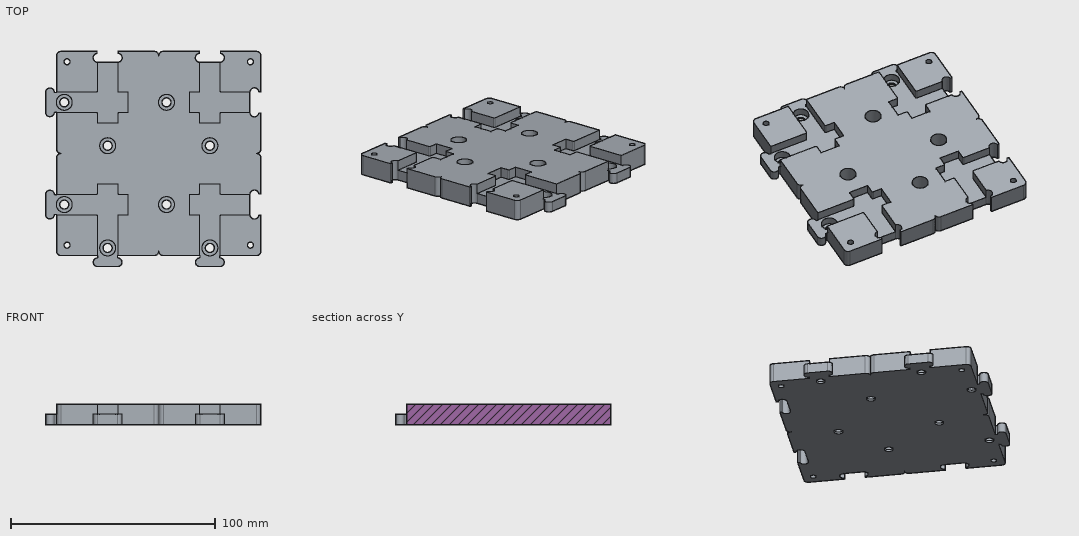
import cadquery as cq
import math

tile_size = 100.0
thickness = 10.1
cell_size = tile_size / 2
cell_corner_radius = 2.2
half_tile = tile_size / 2

joint_reach = 5.4
joint_width = 14.1
lobe_diameter = 4.3
tab_neck_width = 9.8
tab_neck_fillet = 0.3
tab_thickness = 5.2
socket_neck_width = 10.2

pocket_arm_width = 10.0
pocket_arm_reach = 10.0
pocket_corner_radius = 0.5

screw_diameter = 4.3
counterbore_diameter = 7.8
counterbore_floor = 1.1
screw_inset = 3.8
pin_diameter = 2.8
pin_inset = 5.2

margin = 0.1

cell_offsets = (-cell_size / 2, cell_size / 2)
cell_centers = [(x, y) for x in cell_offsets for y in cell_offsets]


def box(x_limits, y_limits, height):
    """Box standing on Z = 0, given by its (low, high) limits along X and Y."""
    x_low, x_high = x_limits
    y_low, y_high = y_limits
    solid = cq.Workplane("XY").box(x_high - x_low, y_high - y_low, height, centered=False)
    return solid.translate((x_low, y_low, 0))


def joint(neck_width, height):
    """T shape reaching along -X from the origin, with its neck centred on the X axis."""
    lobe_radius = lobe_diameter / 2
    lobe_x = lobe_radius - joint_reach
    lobe_y = joint_width / 2 - lobe_radius
    half_neck = neck_width / 2
    neck_angle = math.asin((half_neck - lobe_y) / lobe_radius)

    def lobe_point(angle):
        return (lobe_x + lobe_radius * math.cos(angle), lobe_y + lobe_radius * math.sin(angle))

    half_shape = (
        cq.Workplane("XY")
        .lineTo(0, half_neck)
        .lineTo(*lobe_point(neck_angle))
        .threePointArc(lobe_point(math.pi / 2), lobe_point(math.pi))
        .lineTo(-joint_reach, 0)
        .close()
        .extrude(height)
    )
    return half_shape.union(half_shape.mirror("XZ"))


def tab_shape():
    """Tab reaching along -X, with small fillets where the lobes meet the neck."""
    tab = joint(tab_neck_width, tab_thickness)
    neck_corners = cq.selectors.BoxSelector(
        (lobe_diameter / 2 - joint_reach + margin, -tab_neck_width, -margin),
        (-margin, tab_neck_width, tab_thickness + margin),
    )
    return tab.edges("|Z").edges(neck_corners).fillet(tab_neck_fillet)


def quarter_turn(shape):
    """Turn a shape that reaches along -X so that it reaches along -Y."""
    return shape.rotate((0, 0, 0), (0, 0, 1), 90)


def rounded_tile():
    """Square tile whose rim shows the rounded corners of its four cells."""
    cells = (
        cq.Workplane("XY")
        .pushPoints(cell_centers)
        .rect(cell_size, cell_size)
        .extrude(thickness, combine=False)
        .edges("|Z")
        .fillet(cell_corner_radius)
    )
    core_size = tile_size - 2 * cell_corner_radius
    core = cq.Workplane("XY").rect(core_size, core_size).extrude(thickness)
    return cells.union(core)


def pocket(x_side, y_side):
    """Cross pocket of one cell; its long arms run out over the joints on the two rim sides."""
    half_width = pocket_arm_width / 2
    long_reach = cell_size / 2 + joint_reach
    height = thickness - tab_thickness
    arm_sides = (-half_width, half_width)
    x_limits = sorted((-x_side * pocket_arm_reach, x_side * long_reach))
    y_limits = sorted((-y_side * pocket_arm_reach, y_side * long_reach))
    cross = box(x_limits, arm_sides, height).union(box(arm_sides, y_limits, height))
    reach = half_width + margin
    crossing_corners = cq.selectors.BoxSelector((-reach, -reach, -margin), (reach, reach, height + margin))
    cross = cross.edges("|Z").edges(crossing_corners).fillet(pocket_corner_radius)
    return cross.translate((x_side * cell_size / 2, y_side * cell_size / 2, tab_thickness))


body = rounded_tile()

socket = joint(socket_neck_width, thickness)
tab = tab_shape()
for offset in cell_offsets:
    body = body.cut(socket.translate((half_tile, offset, 0)))
    body = body.cut(quarter_turn(socket).translate((offset, half_tile, 0)))
    body = body.union(tab.translate((-half_tile, offset, 0)))
    body = body.union(quarter_turn(tab).translate((offset, -half_tile, 0)))

for x_side in (-1, 1):
    for y_side in (-1, 1):
        body = body.cut(pocket(x_side, y_side))

screw_offset = cell_size / 2 - screw_inset
screw_points = [(x - screw_offset, y) for x, y in cell_centers]
screw_points += [(x, y - screw_offset) for x, y in cell_centers]
screw_holes = cq.Workplane("XY").pushPoints(screw_points).circle(screw_diameter / 2).extrude(thickness)
counterbores = (
    cq.Workplane("XY", origin=(0, 0, counterbore_floor))
    .pushPoints(screw_points)
    .circle(counterbore_diameter / 2)
    .extrude(thickness)
)
body = body.cut(screw_holes).cut(counterbores)

pin_spacing = tile_size - 2 * pin_inset
pin_holes = (
    cq.Workplane("XY")
    .rect(pin_spacing, pin_spacing, forConstruction=True)
    .vertices()
    .circle(pin_diameter / 2)
    .extrude(thickness)
)
result = body.cut(pin_holes)